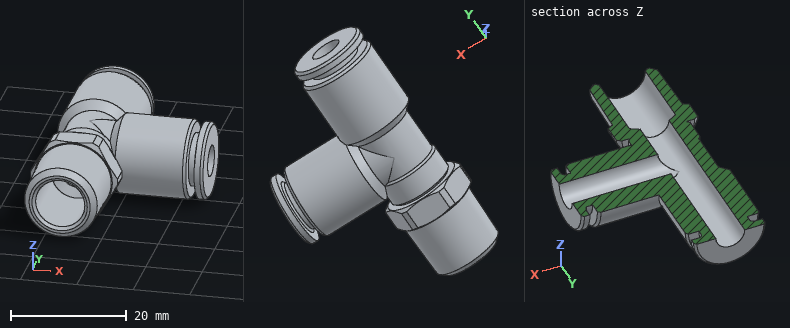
import cadquery as cq
import math


port_length = 21.5
port_body_radius = 7.0
port_body_start = 6.0
port_body_end = 18.5
port_body_chamfer_length = 0.5
port_body_chamfer_depth = 0.4
neck_radius = 4.65
ring_radius = 6.8
ring_thickness = 1.5
ring_chamfer = 0.45
ring_root_radius = 5.15
ring_root_length = 0.35

stem_radius = 5.5
shoulder_length = port_body_radius - stem_radius

collar_radius = 5.9
collar_start = 3.6
collar_lead_in = 0.4
collar_chamfer = 0.4

hex_start = 8.5
hex_end = 13.0
hex_across_flats = 14.0
hex_corner_radius = 7.75
hex_face_radius = 6.9
hex_chamfer_angle = 30.0

thread_end = 24.0
thread_large_radius = 6.7
thread_small_radius = 6.45
thread_tip_radius = 5.4
thread_tip_length = 1.0

passage_radius = 2.72
thread_bore_radius = 4.35
thread_bore_mouth_radius = 4.9
thread_bore_chamfer_length = 0.5
thread_bore_depth = 13.0
bore_tip_angle = 120.0


def turned(profile):
    """Revolve a list of (radius, y) points about the Y axis."""
    return cq.Workplane("XY").polyline(profile).close().revolve(360, (0, 0, 0), (0, 1, 0))


def tube_port():
    """Stem, shoulder, body and release ring of one port, pointing along +Y."""
    ring_start = port_length - ring_thickness
    return turned([
        (0, 0),
        (stem_radius, 0),
        (stem_radius, port_body_start - shoulder_length),
        (port_body_radius, port_body_start),
        (port_body_radius, port_body_end - port_body_chamfer_length),
        (port_body_radius - port_body_chamfer_depth, port_body_end),
        (neck_radius, port_body_end),
        (neck_radius, ring_start - ring_root_length),
        (ring_root_radius, ring_start),
        (ring_radius, ring_start),
        (ring_radius, port_length - ring_chamfer),
        (ring_radius - ring_chamfer, port_length),
        (0, port_length),
    ])


def lower_stem():
    """Stem below the crossing and the wider collar that meets the hexagon."""
    return turned([
        (0, 0),
        (stem_radius, 0),
        (stem_radius, -collar_start),
        (collar_radius, -collar_start - collar_lead_in),
        (collar_radius, -hex_start + collar_chamfer),
        (collar_radius - collar_chamfer, -hex_start),
        (0, -hex_start),
    ])


def hexagon():
    """Hexagon with flats facing +Z and -Z, turned corners and chamfered faces."""
    corner_diameter = hex_across_flats / math.cos(math.radians(30))
    prism = (
        cq.Workplane("XZ", origin=(0, -hex_start, 0))
        .polygon(6, corner_diameter)
        .extrude(hex_end - hex_start)
    )
    chamfer_rise = (hex_corner_radius - hex_face_radius) * math.tan(math.radians(hex_chamfer_angle))
    envelope = turned([
        (0, -hex_start),
        (hex_face_radius, -hex_start),
        (hex_corner_radius, -hex_start - chamfer_rise),
        (hex_corner_radius, -hex_end + chamfer_rise),
        (hex_face_radius, -hex_end),
        (0, -hex_end),
    ])
    return prism.intersect(envelope)


def thread():
    """Plain tapered thread body with a chamfered tip."""
    return turned([
        (0, -hex_end),
        (thread_large_radius, -hex_end),
        (thread_small_radius, -thread_end + thread_tip_length),
        (thread_tip_radius, -thread_end),
        (0, -thread_end),
    ])


def run_passage():
    """Passage along the whole run, widened inside the thread."""
    bore_bottom = -thread_end + thread_bore_depth
    cone_slope = math.tan(math.radians(bore_tip_angle / 2))
    cone_length = (thread_bore_radius - passage_radius) / cone_slope
    return turned([
        (0, -thread_end),
        (thread_bore_mouth_radius, -thread_end),
        (thread_bore_radius, -thread_end + thread_bore_chamfer_length),
        (thread_bore_radius, bore_bottom),
        (passage_radius, bore_bottom + cone_length),
        (passage_radius, port_length),
        (0, port_length),
    ])


def branch_passage():
    """Passage from the crossing out through the branch port."""
    return cq.Workplane("YZ").circle(passage_radius).extrude(port_length)


run_port = tube_port()
branch_port = tube_port().rotate((0, 0, 0), (0, 0, 1), -90)

result = (
    run_port
    .union(branch_port)
    .union(lower_stem())
    .union(hexagon())
    .union(thread())
    .cut(run_passage())
    .cut(branch_passage())
)